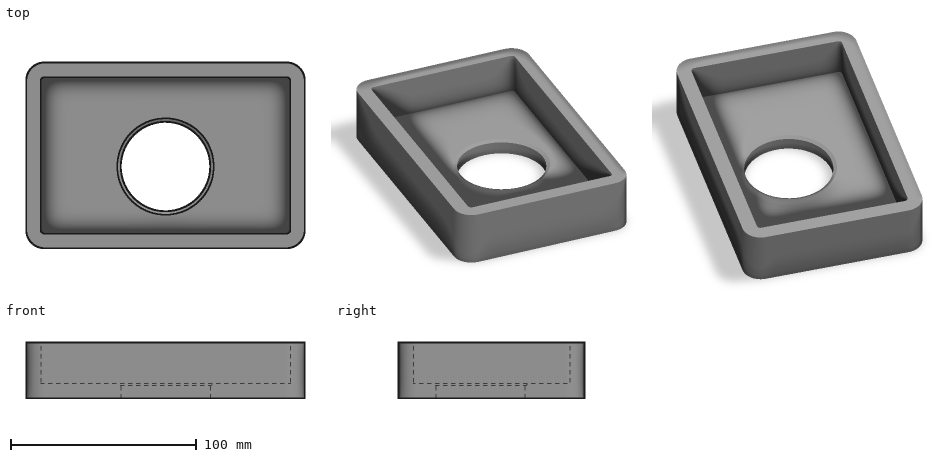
import cadquery as cq

length = 150.0
width = 100.0
height = 30.0
corner_radius = 10.0

wall = 8.0
floor = 8.0
pocket_corner_radius = 2.0

hole_offset_y = -6.0
hole_diameter = 48.0
lead_in_width = 2.0
lead_in_depth = 1.0


def rounded_block(size_x, size_y, size_z, radius):
    """Block standing on Z = 0 with rounded vertical edges."""
    block = cq.Workplane("XY").box(size_x, size_y, size_z, centered=(True, True, False))
    return block.edges("|Z").fillet(radius)


def floor_opening():
    """Through hole with a conical lead-in at the top of the floor."""
    radius = hole_diameter / 2
    bore = cq.Workplane("XY").circle(radius).extrude(floor)
    lead_in = cq.Solid.makeCone(
        radius,
        radius + lead_in_width,
        lead_in_depth,
        pnt=cq.Vector(0, 0, floor - lead_in_depth),
    )
    return bore.union(cq.Workplane(lead_in))


body = rounded_block(length, width, height, corner_radius)
pocket = rounded_block(
    length - 2 * wall, width - 2 * wall, height - floor, pocket_corner_radius
).translate((0, 0, floor))

opening = floor_opening().translate((0, hole_offset_y, 0))

result = body.cut(pocket).cut(opening)